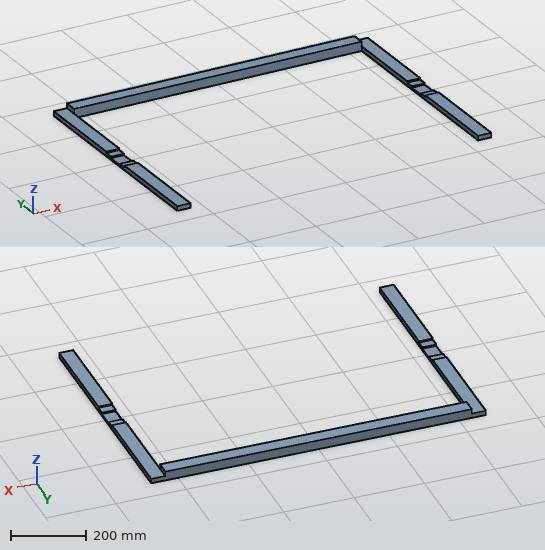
import cadquery as cq

frame_width = 952.0
frame_depth = 680.0
rail_height = 28.0
bar_width = 40.0
arm_thickness = rail_height / 2

step_drop = 4.5
outer_notch_length = 101.0
inner_notch_length = outer_notch_length / 2

arm_offset = (frame_width - bar_width) / 2
rail_length = frame_width - 2 * bar_width
rail_offset = (frame_depth - bar_width) / 2


def bottom_box(length_x, length_y, height):
    """Box centred in X and Y, standing on the plane Z = 0."""
    return cq.Workplane("XY").box(length_x, length_y, height, centered=(True, True, False))


def notched_arm():
    """Flat side arm whose top steps down twice towards its middle."""
    arm = bottom_box(bar_width, frame_depth, arm_thickness)
    for level, notch_length in enumerate((outer_notch_length, inner_notch_length), start=1):
        floor_height = arm_thickness - level * step_drop
        notch = bottom_box(bar_width, notch_length, arm_thickness).translate((0, 0, floor_height))
        arm = arm.cut(notch)
    return arm


result = bottom_box(rail_length, bar_width, rail_height).translate((0, rail_offset, 0))
for side in (-1, 1):
    result = result.union(notched_arm().translate((side * arm_offset, 0, 0)))